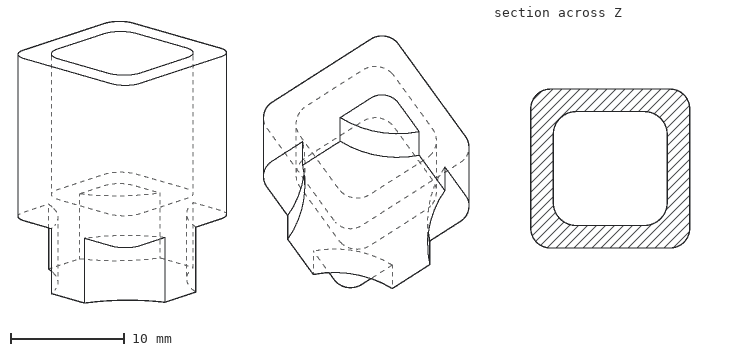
import cadquery as cq

side = 14.0
total_height = 21.0
corner_radius = 1.75

foot_height = 6.0
arm_width = 4.0
scoop_middle = 4.0

wall = 2.0
floor_thickness = 2.0
pocket_side = side - 2 * wall
pocket_corner_radius = 2.0


def rounded_square_prism(width, radius, bottom, top):
    """Upright square prism with rounded vertical edges, centred on Z."""
    prism = cq.Workplane("XY").workplane(offset=bottom).rect(width, width).extrude(top - bottom)
    return prism.edges("|Z").fillet(radius)


def corner_scoop():
    """Cutter for the +X +Y corner of the foot, bounded inside by a concave arc."""
    half_side = side / 2
    half_arm = arm_width / 2
    return (
        cq.Workplane("XY")
        .moveTo(half_side, half_arm)
        .threePointArc((scoop_middle, scoop_middle), (half_arm, half_side))
        .lineTo(half_side, half_side)
        .close()
        .extrude(foot_height)
    )


def cross_foot():
    """Square foot with all four corners scooped out, leaving four flat-ended arms."""
    foot = cq.Workplane("XY").rect(side, side).extrude(foot_height)
    scoop = corner_scoop()
    for quarter_turn in range(4):
        foot = foot.cut(scoop.rotate((0, 0, 0), (0, 0, 1), 90 * quarter_turn))
    return foot


body = rounded_square_prism(side, corner_radius, foot_height, total_height)
pocket_floor = foot_height + floor_thickness
pocket = rounded_square_prism(pocket_side, pocket_corner_radius, pocket_floor, total_height)

result = body.cut(pocket).union(cross_foot())